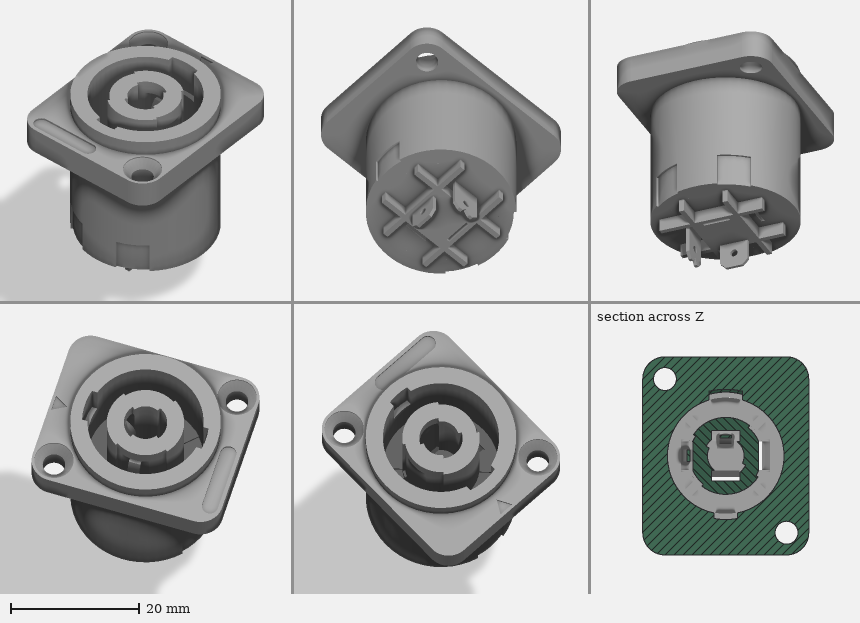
import cadquery as cq
import math

top_z = 32.5
flange_top_z = 29.95
flange_bottom_z = 25.48
shell_bottom_z = 6.3
guide_bottom_z = 4.25
floor_z = 19.5

overlap = 0.32

flange_x = 26.0
flange_y = 31.0
flange_corner_radius = 3.55
screw_x = 9.5
screw_y = 12.0
screw_hole_diameter = 3.5
countersink_diameter = 6.1
countersink_rim_depth = 0.2
mark_depth = 0.32
arrow_width = 2.47
arrow_base_y = 15.0
arrow_tip_y = 12.8
label_center = (-5.0, -13.62)
label_length = 12.05
label_width = 2.55

shell_radius = 23.5 / 2
bore_radius = 9.07
keyway_radius = 9.9
keyway_bottom_z = 26.7
wide_keyway_width = 5.2
narrow_keyway_width = 3.65
liner_wall = 0.45
liner_leg_bottom_z = 29.58
recess_radius = 11.38
recess_top_z = 11.47
recess_span = 26.4
recess_angles = (90, 240, 300)

core_top_z = 32.2
core_radius = 6.05
core_relief_radius = 5.65
core_relief_ledge_height = 0.98
core_relief_ranges = ((-33, 51.3), (147, 231.4))
core_bore_radius = 2.83
core_keyway_radius = 3.38
core_keyway_ranges = ((54, 154), (234, 335))
spoke_angles = (45, 135, 225, 315)
spoke_width = 1.35
spoke_height = 0.32
pocket_roof_z = 29.9
pocket_width = 4.42
window_width = 5.1
window_depth = 0.32
outer_ramp_drop = 1.27
inner_ramp_drop = 1.45
outer_ramp_top_z = floor_z - window_depth
outer_ramp_bottom_z = outer_ramp_top_z - outer_ramp_drop
inner_ramp_top_z = floor_z
inner_ramp_bottom_z = inner_ramp_top_z - inner_ramp_drop
guide_wall = 0.85
guide_inner_x = 3.25
guide_inner_y = 3.75
guide_half_y = 8.8
guide_min_x = -9.23
guide_max_x = 8.2
tip_recess_width = 2.65
tip_recess_end = 1.15
tip_recess_depth = 0.32

outer_blade_radius = 5.43
inner_blade_radius = 3.6
outer_ramp_radius = 6.95
inner_ramp_radius = 2.3
outer_finger_radius = 6.8
inner_finger_radius = 1.82
blade_thickness = 0.55
blade_width = 4.68
blade_chamfer = 0.95
blade_hole_diameter = 1.2
blade_hole_z = 2.4
blade_notch_half_width = 0.7
blade_notch_depth = 0.98
finger_width = 1.9
finger_start_z = 20.8
finger_end_z = 28.92


def cylinder(radius, bottom_z, upper_z):
    return cq.Workplane("XY").workplane(offset=bottom_z).circle(radius).extrude(upper_z - bottom_z)


def box(min_x, max_x, min_y, max_y, min_z, max_z):
    size = (max_x - min_x, max_y - min_y, max_z - min_z)
    return cq.Workplane("XY").box(*size, centered=False).translate((min_x, min_y, min_z))


def ring_sector(inner_radius, outer_radius, start_angle, end_angle, bottom_z, upper_z):
    """Part of a ring between two angles, given in degrees from +X."""

    def point(radius, angle):
        return radius * math.cos(math.radians(angle)), radius * math.sin(math.radians(angle))

    middle_angle = (start_angle + end_angle) / 2
    return (
        cq.Workplane("XY").workplane(offset=bottom_z)
        .moveTo(*point(inner_radius, start_angle))
        .lineTo(*point(outer_radius, start_angle))
        .threePointArc(point(outer_radius, middle_angle), point(outer_radius, end_angle))
        .lineTo(*point(inner_radius, end_angle))
        .threePointArc(point(inner_radius, middle_angle), point(inner_radius, start_angle))
        .close()
        .extrude(upper_z - bottom_z)
    )


def keyway(width, radius, side, bottom_z):
    """Straight-sided slot from the axis to a round end; side is +1 for +Y and -1 for -Y."""
    slot = box(-width / 2, width / 2, min(0, side * radius), max(0, side * radius), bottom_z, top_z)
    return slot.intersect(cylinder(radius, bottom_z, top_z))


def make_keyway_liner():
    """Back plate along the whole wide keyway, with side legs that reach the bore in its upper part."""
    seat_width = wide_keyway_width + 2 * liner_wall
    seat_radius = keyway_radius + liner_wall
    back_plate = keyway(wide_keyway_width, seat_radius, 1, keyway_bottom_z)
    legs = keyway(seat_width, seat_radius, 1, liner_leg_bottom_z)
    opening = keyway(wide_keyway_width, keyway_radius, 1, keyway_bottom_z)
    return back_plate.union(legs).cut(opening).cut(cylinder(bore_radius, keyway_bottom_z, top_z))


def make_flange():
    height = flange_top_z - flange_bottom_z
    flange = (
        cq.Workplane("XY").workplane(offset=flange_bottom_z)
        .rect(flange_x, flange_y).extrude(height)
        .edges("|Z").fillet(flange_corner_radius)
    )
    countersink_depth = countersink_rim_depth + (countersink_diameter - screw_hole_diameter) / 2
    screw_profile = [
        (0, flange_bottom_z),
        (screw_hole_diameter / 2, flange_bottom_z),
        (screw_hole_diameter / 2, flange_top_z - countersink_depth),
        (countersink_diameter / 2, flange_top_z - countersink_rim_depth),
        (countersink_diameter / 2, flange_top_z),
        (0, flange_top_z),
    ]
    screw_hole = cq.Workplane("XZ").polyline(screw_profile).close().revolve(360, (0, 0), (0, 1))
    for side in (-1, 1):
        flange = flange.cut(screw_hole.translate((side * screw_x, -side * screw_y, 0)))

    mark_plane = cq.Workplane("XY").workplane(offset=flange_top_z - mark_depth)
    arrow = (
        mark_plane
        .polyline([(-arrow_width / 2, arrow_base_y), (arrow_width / 2, arrow_base_y), (0, arrow_tip_y)])
        .close().extrude(mark_depth)
    )
    label = mark_plane.center(*label_center).slot2D(label_length, label_width).extrude(mark_depth)
    return flange.cut(arrow).cut(label)


def make_housing(keyway_liner):
    housing = make_flange().union(cylinder(shell_radius, shell_bottom_z, top_z))
    housing = housing.cut(cylinder(bore_radius, shell_bottom_z, top_z))
    housing = housing.cut(keyway(wide_keyway_width, keyway_radius, 1, keyway_bottom_z))
    housing = housing.cut(keyway(narrow_keyway_width, keyway_radius, -1, keyway_bottom_z))
    housing = housing.cut(keyway_liner)
    for angle in recess_angles:
        start, end = angle - recess_span / 2, angle + recess_span / 2
        recess = ring_sector(recess_radius, shell_radius + overlap, start, end, shell_bottom_z, recess_top_z)
        housing = housing.cut(recess)
    return housing


def contact_pocket(blade_radius, ramp_radius, ramp_bottom_z, ramp_top_z, angle):
    """Blade channel through the insert, with a ramp leading into it from one side."""
    side = math.copysign(1, ramp_radius - blade_radius)
    back = blade_radius - side * blade_thickness / 2
    front = blade_radius + side * blade_thickness / 2
    profile = [
        (back, guide_bottom_z),
        (front, guide_bottom_z),
        (front, ramp_bottom_z),
        (ramp_radius, ramp_top_z),
        (ramp_radius, pocket_roof_z),
        (back, pocket_roof_z),
    ]
    pocket = cq.Workplane("XZ").polyline(profile).close().extrude(pocket_width / 2, both=True)
    return pocket.rotate((0, 0, 0), (0, 0, 1), angle)


def make_rear_guides():
    """Central block with crossed ribs that flank the blades."""
    outer_x = guide_inner_x + guide_wall
    outer_y = guide_inner_y + guide_wall
    guides = box(-outer_x, outer_x, -outer_y, outer_y, guide_bottom_z, shell_bottom_z)
    for low, high in ((-outer_x, -guide_inner_x), (guide_inner_x, outer_x)):
        guides = guides.union(box(low, high, -guide_half_y, guide_half_y, guide_bottom_z, shell_bottom_z))
    for low, high in ((-outer_y, -guide_inner_y), (guide_inner_y, outer_y)):
        guides = guides.union(box(guide_min_x, guide_max_x, low, high, guide_bottom_z, shell_bottom_z))
    return guides


def make_core():
    core = cylinder(core_radius, floor_z, core_top_z)
    ledge_z = floor_z + core_relief_ledge_height
    for start, end in core_relief_ranges:
        relief = ring_sector(core_relief_radius, core_radius + overlap, start, end, ledge_z, core_top_z)
        core = core.cut(relief)
    core = core.cut(cylinder(core_bore_radius, floor_z, core_top_z))
    for start, end in core_keyway_ranges:
        groove = ring_sector(core_bore_radius - overlap, core_keyway_radius, start, end, floor_z, core_top_z)
        core = core.cut(groove)
    return core


def make_insert(contacts):
    insert = cylinder(bore_radius, shell_bottom_z, floor_z).union(make_core()).union(make_rear_guides())
    for angle in spoke_angles:
        spoke = box(core_relief_radius, bore_radius, -spoke_width / 2, spoke_width / 2,
                    floor_z, floor_z + spoke_height)
        spoke = spoke.intersect(cylinder(bore_radius, floor_z, floor_z + spoke_height))
        insert = insert.union(spoke.rotate((0, 0, 0), (0, 0, 1), angle))
    for angle in (0, 180):
        pocket = contact_pocket(
            outer_blade_radius, outer_ramp_radius, outer_ramp_bottom_z, outer_ramp_top_z, angle
        )
        insert = insert.cut(pocket)
    window = box(-outer_ramp_radius, outer_ramp_radius, -window_width / 2, window_width / 2,
                 outer_ramp_top_z, floor_z)
    insert = insert.cut(window.cut(cylinder(core_radius, outer_ramp_top_z, floor_z)))
    for angle in (90, 270):
        pocket = contact_pocket(
            inner_blade_radius, inner_ramp_radius, inner_ramp_bottom_z, inner_ramp_top_z, angle
        )
        insert = insert.cut(pocket)
    tip_recess = box(-tip_recess_width / 2, tip_recess_width / 2, tip_recess_end, inner_ramp_radius,
                     floor_z - tip_recess_depth, floor_z)
    insert = insert.cut(tip_recess)
    for contact in contacts:
        insert = insert.cut(contact)
    return insert


def make_contact(blade_radius, finger_radius, stem_top_z, angle, notched):
    """Flat blade with a narrow spring finger bowed towards finger_radius."""
    side = math.copysign(1, finger_radius - blade_radius)
    back = blade_radius - side * blade_thickness / 2
    front = blade_radius + side * blade_thickness / 2
    low, high = min(back, front), max(back, front)

    blade = box(low, high, -blade_width / 2, blade_width / 2, 0, shell_bottom_z)
    blade = blade.edges("|X and <Z").chamfer(blade_chamfer)
    hole = cq.Workplane("YZ").center(0, blade_hole_z).circle(blade_hole_diameter / 2).extrude(high + overlap)
    blade = blade.cut(hole)
    if notched:
        notch = (
            cq.Workplane("YZ")
            .polyline([(-blade_notch_half_width, 0), (blade_notch_half_width, 0), (0, blade_notch_depth)])
            .close().extrude(high + overlap)
        )
        blade = blade.cut(notch)

    stem = box(low, high, -pocket_width / 2, pocket_width / 2, shell_bottom_z, stem_top_z)
    middle_z = (finger_start_z + finger_end_z) / 2
    finger = (
        cq.Workplane("XZ")
        .moveTo(back, stem_top_z)
        .lineTo(front, stem_top_z)
        .lineTo(front, finger_start_z)
        .threePointArc((finger_radius, middle_z), (front, finger_end_z))
        .lineTo(back, finger_end_z)
        .threePointArc((finger_radius - side * blade_thickness, middle_z), (back, finger_start_z))
        .close()
        .extrude(finger_width / 2, both=True)
    )
    return blade.union(stem).union(finger).rotate((0, 0, 0), (0, 0, 1), angle)


keyway_liner = make_keyway_liner()
housing = make_housing(keyway_liner)
outer_contact = make_contact(
    outer_blade_radius, outer_finger_radius, outer_ramp_bottom_z, angle=180, notched=True
)
inner_contact = make_contact(
    inner_blade_radius, inner_finger_radius, inner_ramp_bottom_z, angle=90, notched=False
)
insert = make_insert([outer_contact, inner_contact])

result = cq.Compound.makeCompound(
    [housing.val(), insert.val(), keyway_liner.val(), outer_contact.val(), inner_contact.val()]
)